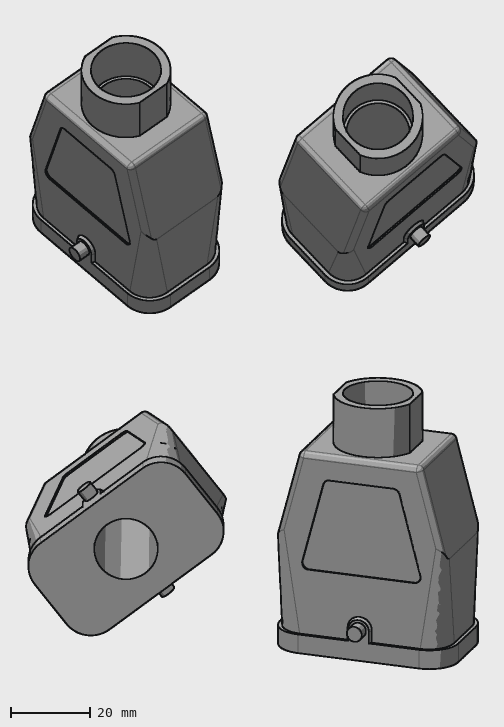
import cadquery as cq
import math

flange_length = 47.9
flange_width = 28.7
flange_height = 5.0
flange_corner_radius = 7.7

hood_length = 45.75
hood_width = 26.9
knee_height = 29.0
roof_height = 53.9
lean_angle = 14.8
upper_edge_radius = 1.55

corner_radius_low = 6.7
corner_radius_high = 1.35
corner_blend_top = 40.2

total_height = 67.0
neck_diameter = 22.5
neck_flats_width = 20.5
neck_bore_diameter = 17.7
through_bore_diameter = 16.0

pin_span = 34.9
pin_diameter = 4.0
pin_height = 8.25
pad_root_radius = 3.3
pad_face_radius = 2.75

panel_center_x = 0.4
panel_bottom = 22.45
panel_top = 47.1
panel_bottom_length = 32.8
panel_corner_radius = 1.75
panel_depth = 0.5


def lean_inset(rise):
    """Sideways shift of a leaning side over a given rise."""
    return rise * math.tan(math.radians(lean_angle))


def corner_radius_at(height):
    """Radius of the upright hood corners, linear in height."""
    shrink_rate = (corner_radius_low - corner_radius_high) / (corner_blend_top - flange_height)
    return corner_radius_low - shrink_rate * (height - flange_height)


def rounded_section(height):
    """Hood cross-section with the corner radius of its height."""
    section = cq.Sketch().rect(hood_length, hood_width).vertices().fillet(corner_radius_at(height))
    return section.moved(cq.Location(cq.Vector(0, 0, height)))


def make_hood():
    half_length = hood_length / 2
    half_roof = half_length - lean_inset(roof_height - knee_height)
    profile = [
        (-half_length, 0),
        (half_length, 0),
        (half_length, knee_height),
        (half_roof, roof_height),
        (-half_roof, roof_height),
        (-half_length, knee_height),
    ]
    prism = cq.Workplane("XZ").polyline(profile).close().extrude(hood_width / 2, both=True)

    above_knee = cq.selectors.BoxSelector(
        (-hood_length, -hood_width, knee_height + upper_edge_radius),
        (hood_length, hood_width, total_height),
    )
    prism = prism.edges(above_knee).fillet(upper_edge_radius)

    envelope = cq.Workplane("XY").placeSketch(
        rounded_section(0),
        rounded_section(corner_blend_top),
    ).loft()
    cap = (
        cq.Workplane("XY", origin=(0, 0, corner_blend_top))
        .rect(hood_length, hood_width)
        .extrude(roof_height - corner_blend_top)
    )
    return prism.intersect(envelope.union(cap))


def make_flange():
    return (
        cq.Workplane("XY")
        .rect(flange_length, flange_width)
        .extrude(flange_height)
        .edges("|Z")
        .fillet(flange_corner_radius)
    )


def make_neck():
    root = cq.Workplane("XY", origin=(0, 0, knee_height))
    neck_length = total_height - knee_height
    neck = root.circle(neck_diameter / 2).extrude(neck_length)
    flats = root.rect(neck_flats_width, neck_diameter).extrude(neck_length)
    return neck.intersect(flats)


def pad_outline(plane, radius):
    """Arch around the pin, with straight legs reaching down into the flange."""
    return (
        plane.moveTo(-radius, 0)
        .lineTo(-radius, pin_height)
        .threePointArc((0, pin_height + radius), (radius, pin_height))
        .lineTo(radius, 0)
        .close()
    )


def make_front_pin():
    pad_height = (flange_width - hood_width) / 2
    root_plane = cq.Workplane("XZ", origin=(0, -hood_width / 2, 0))
    pad = pad_outline(root_plane, pad_root_radius).workplane(offset=pad_height)
    pad = pad_outline(pad, pad_face_radius).loft(ruled=True)
    pin_length = (pin_span - hood_width) / 2
    pin = root_plane.center(0, pin_height).circle(pin_diameter / 2).extrude(pin_length)
    return pad.union(pin)


def make_panel_recess():
    half_bottom = panel_bottom_length / 2
    half_top = half_bottom - lean_inset(panel_top - panel_bottom)
    outline = [
        (-half_bottom, panel_bottom),
        (half_bottom, panel_bottom),
        (half_top, panel_top),
        (-half_top, panel_top),
    ]
    return (
        cq.Workplane("XZ", origin=(panel_center_x, -hood_width / 2, 0))
        .polyline(outline)
        .close()
        .extrude(-panel_depth)
        .edges("|Y")
        .fillet(panel_corner_radius)
    )


def make_bores():
    through_bore = cq.Workplane("XY").circle(through_bore_diameter / 2).extrude(total_height)
    neck_bore = (
        cq.Workplane("XY", origin=(0, 0, roof_height))
        .circle(neck_bore_diameter / 2)
        .extrude(total_height - roof_height)
    )
    return through_bore.union(neck_bore)


front_pin = make_front_pin()
result = make_hood().union(make_flange()).union(make_neck())
result = result.union(front_pin).union(front_pin.mirror("XZ"))
result = result.cut(make_panel_recess()).cut(make_bores())